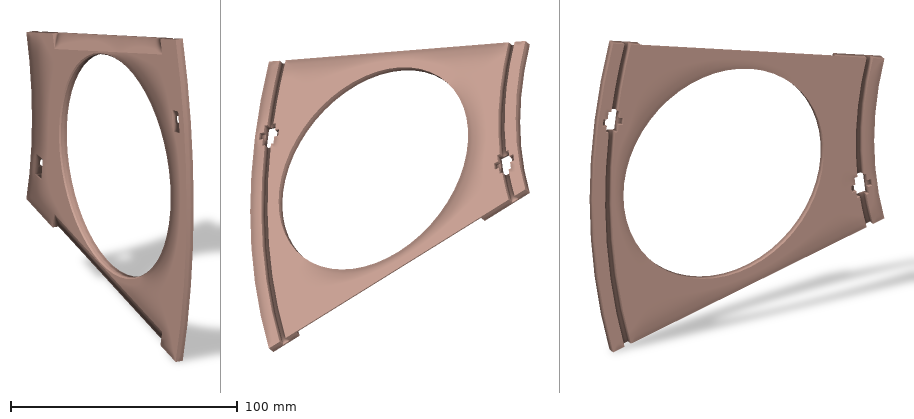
import cadquery as cq
import math

thickness = 3.6
inner_radius = 150.0
half_angle = 15.0
half_height = 75.0
outer_radius = half_height / math.sin(math.radians(half_angle))

window_center = 225.0
window_diameter = 100.0
window_chamfer = 0.6

bevel_start = 174.6
bevel_end = 275.6
bevel_width = 6.9
bevel_edge_land = 0.6

groove_edge_offset = 7.5
groove_radii = (inner_radius + groove_edge_offset, outer_radius - groove_edge_offset)
groove_width = 3.3
groove_floor = 0.8
slot_angles = (-7.5, 7.5)
slot_width = 6.0
slot_length = 10.0

recess_length = 10.2
recess_width = 3.3
recess_floor = 1.7


def front_plane(y):
    """Workplane at height y whose sketch axes are X and Z, extruding toward +Y."""
    return cq.Workplane(cq.Plane(origin=(0, y, 0), xDir=(1, 0, 0), normal=(0, -1, 0)))


def polar(radius, angle):
    """X and Z of a point at a radius and an angle in degrees."""
    return radius * math.cos(math.radians(angle)), radius * math.sin(math.radians(angle))


def turned(body, angle):
    """Turn a body about the fan axis, positive from X toward Z."""
    return body.rotate((0, 0, 0), (0, -1, 0), angle)


def sector_plate():
    return (
        front_plane(0)
        .moveTo(*polar(inner_radius, -half_angle))
        .lineTo(*polar(outer_radius, -half_angle))
        .threePointArc((outer_radius, 0), polar(outer_radius, half_angle))
        .lineTo(*polar(inner_radius, half_angle))
        .threePointArc((inner_radius, 0), polar(inner_radius, -half_angle))
        .close()
        .extrude(-thickness)
    )


def window():
    hole = front_plane(0).center(window_center, 0).circle(window_diameter / 2).extrude(-thickness)
    rim = (
        front_plane(0)
        .center(window_center, 0)
        .circle(window_diameter / 2 + window_chamfer)
        .extrude(-window_chamfer, taper=45)
    )
    return hole.union(rim)


def side_bevel(side):
    """Wedge cut from the front of the upper (side = 1) or lower (side = -1) straight edge."""
    wedge = (
        cq.Workplane("YZ", origin=(bevel_start, 0, 0))
        .polyline([(0, 0), (0, -side * bevel_width), (thickness - bevel_edge_land, 0)])
        .close()
        .extrude(bevel_end - bevel_start)
    )
    return turned(wedge, side * half_angle)


def back_groove(radius):
    return (
        front_plane(groove_floor)
        .circle(radius + groove_width / 2)
        .circle(radius - groove_width / 2)
        .extrude(groove_floor - thickness)
    )


def through_slot(radius, angle):
    slot = front_plane(0).center(radius, 0).rect(slot_width, slot_length).extrude(-thickness)
    return turned(slot, angle)


def slot_recess(radius, angle):
    recess = (
        front_plane(recess_floor)
        .center(radius, 0)
        .rect(recess_length, recess_width)
        .extrude(recess_floor - thickness)
    )
    return turned(recess, angle)


result = sector_plate().cut(window())
for edge_side in (1, -1):
    result = result.cut(side_bevel(edge_side))
for groove_radius, slot_angle in zip(groove_radii, slot_angles):
    result = result.cut(back_groove(groove_radius))
    result = result.cut(through_slot(groove_radius, slot_angle))
    result = result.cut(slot_recess(groove_radius, slot_angle))